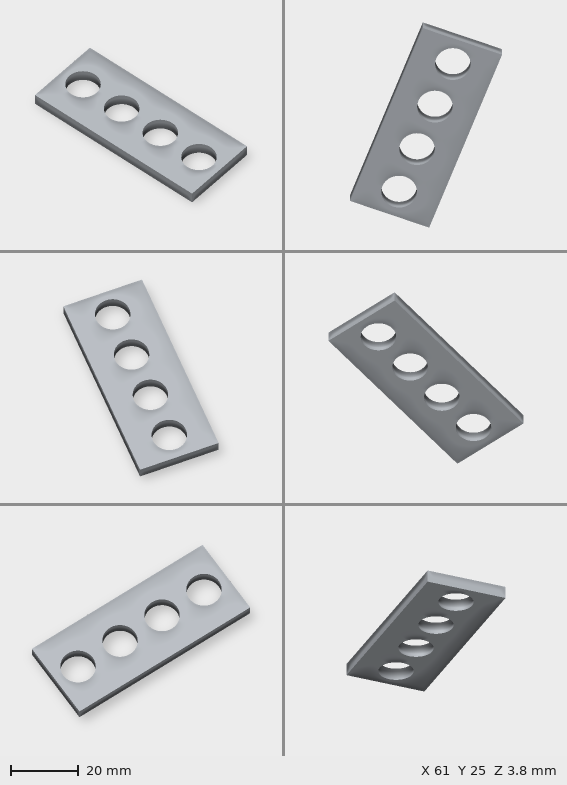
import cadquery as cq

length = 61.0
width = 25.0
thickness = 3.8

hole_diameter = 10.5
hole_count = 4
hole_pitch = 15.0

plate = cq.Workplane("XY").box(length, width, thickness)

result = (
    plate.faces(">Z")
    .workplane()
    .rarray(hole_pitch, 0.6, hole_count, 1)
    .hole(hole_diameter)
)